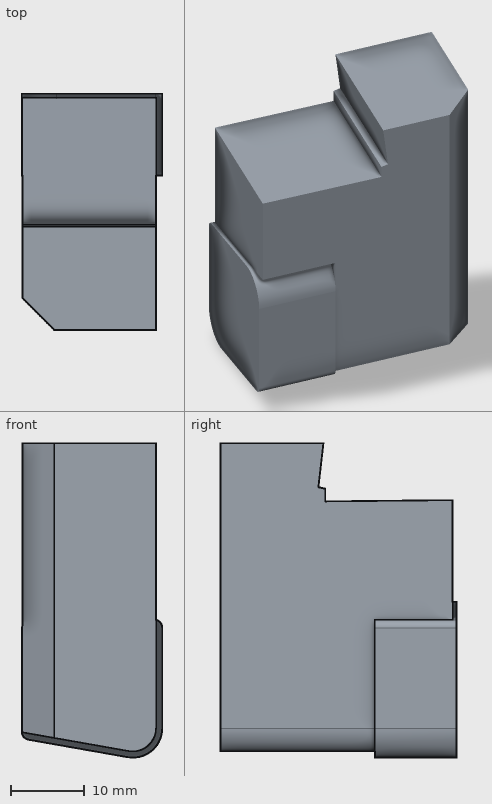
import cadquery as cq
import math

height = 42.6
depth = 32.0
width = 19.05
slope = math.radians(10)

foot_front = 20.9
foot_top_left = 21.9
foot_large_radius = 4.0
foot_small_radius = 1.15

foot_margin = 0.85
body_left = 0.1
body_right = width - foot_margin
body_back = 31.45
body_corner_radius = foot_large_radius - foot_margin
front_chamfer = 4.35

deck_back_height = 34.9
deck_front_height = 34.7
riser_y = 14.23
ledge_outer_height = 36.42
ledge_inner_y = 13.3
ledge_inner_height = 36.65
top_back_y = 13.97

underside_left = foot_large_radius * (1 - 1 / math.cos(slope)) + (width - foot_large_radius) * math.tan(slope)
body_underside_left = underside_left + foot_margin / math.cos(slope)


def sloped_height(left_height, x):
    """Height at x of a line falling toward +X from left_height at x = 0."""
    return left_height - x * math.tan(slope)


def extrude_back(points, front, back):
    """Extrude an outline of (x, z) points from y = front to y = back."""
    return cq.Workplane("XZ", origin=(0, front, 0)).polyline(points).close().extrude(front - back)


def round_edge(solid, x, z, radius):
    """Round the edge along Y that passes through (x, z)."""
    middle_y = solid.val().Center().y
    return solid.edges("|Y").edges(cq.selectors.NearestToPointSelector((x, middle_y, z))).fillet(radius)


def make_foot():
    lower_left = (0, underside_left)
    lower_right = (width, sloped_height(underside_left, width))
    upper_right = (width, sloped_height(foot_top_left, width))
    upper_left = (0, foot_top_left)
    foot = extrude_back([lower_left, lower_right, upper_right, upper_left], foot_front, depth)
    foot = round_edge(foot, *lower_right, foot_large_radius)
    foot = round_edge(foot, *upper_left, foot_large_radius)
    foot = round_edge(foot, *lower_left, foot_small_radius)
    return round_edge(foot, *upper_right, foot_small_radius)


def make_blank():
    """Full-height block with the sloped underside, rounded corner and front chamfer."""
    lower_left = (body_left, sloped_height(body_underside_left, body_left))
    lower_right = (body_right, sloped_height(body_underside_left, body_right))
    outline = [lower_left, lower_right, (body_right, height), (body_left, height)]
    blank = round_edge(extrude_back(outline, 0, body_back), *lower_right, body_corner_radius)
    chamfer = (
        cq.Workplane("XY")
        .moveTo(body_left, 0)
        .lineTo(body_left + front_chamfer, 0)
        .lineTo(body_left, front_chamfer)
        .close()
        .extrude(height)
    )
    return blank.cut(chamfer)


def make_step_cut():
    """Space above the rear deck, with a small ledge and an undercut front wall."""
    outline = [
        (body_back, deck_back_height),
        (riser_y, deck_front_height),
        (riser_y, ledge_outer_height),
        (ledge_inner_y, ledge_inner_height),
        (top_back_y, height),
        (body_back, height),
    ]
    return cq.Workplane("YZ").polyline(outline).close().extrude(width)


def make_foot_notch():
    """Notch at the lower rear of the body, with a sloped roof that rests on the foot."""
    roof_right = (width, sloped_height(foot_top_left, width))
    outline = [(0, 0), (width, 0), roof_right, (0, foot_top_left)]
    return extrude_back(outline, foot_front, body_back)


body = make_blank().cut(make_step_cut()).cut(make_foot_notch())
foot = make_foot()

result = cq.Compound.makeCompound([body.val(), foot.val()])